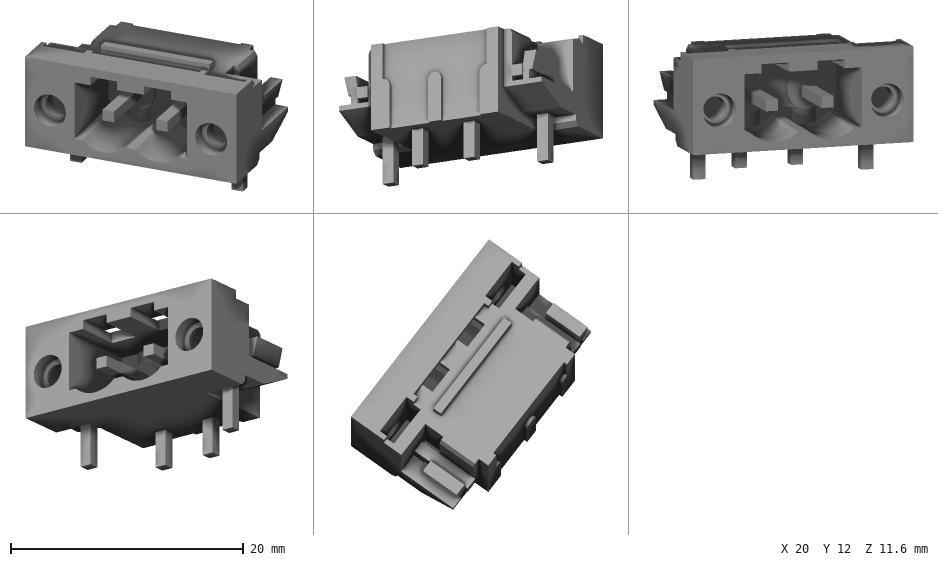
import cadquery as cq


WIDTH = 19.96
DEPTH = 12.0
HEIGHT = 8.4
PITCH = 5.07
CONTACT_XS = (-PITCH / 2, PITCH / 2)
ANCHOR_X = 1.5 * PITCH
AXIS_Z = 3.77

TOP_Z = 7.62
STEP_Y = 3.55
STEP_MIDDLE_Y = 3.11
KEYED_WIDTH = 10.22

RIDGE_FRONT_Y = 5.25
RIDGE_BACK_Y = 6.05
RIDGE_TOP_Z = 8.28
RIDGE_FILLET = 0.2

CAVITY_WIDTH = 10.62
CAVITY_BACK_Y = 7.58
CAVITY_FLOOR_Z = 1.52
CAVITY_CEILING_Z = 6.83
FLOOR_RISE = 0.15
CEILING_DROP = 0.08
SCALLOP_RADIUS = 3.05
NOTCH_WIDTH = 2.51
NOTCH_BACK_Y = 4.17

BLOCK_BOTTOM_Z = 2.3
BLOCK_TOP_Z = 5.65
BLOCK_THICKNESS = 0.35
SUPPORT_RADIUS = 1.7
COLUMN_THICKNESS = 0.371
BOSS_THICKNESS = 0.6

FLANGE_HOLE_RADIUS = 1.5
FLANGE_HOLE_DEPTH = 1.3
SCREW_RADIUS = 1.02
NUT_WIDTH = 3.85
NUT_FRONT_Y = 2.8
NUT_BACK_Y = 4.3

BODY_HALF_WIDTH = 6.27
WING_BACK_Y = 10.98
WING_TOP_Z = 2.9
WING_BACK_EDGE_Z = 2.45
WING_SLOPE_Y = 7.58
WING_BOTTOM_Z = 0.98
FLANGE_BACK_Y = 4.87
FLANGE_CHAMFER = 0.44
POCKET_FRONT_Y = 5.4
POCKET_HALF_WIDTH = 6.49

CLIP_FRONT_Y = 7.35
CLIP_FOOT_X = 8.76
CLIP_HOOK_X = 9.05
CLIP_TIP_OUTER_X = 9.46
CLIP_TIP_INNER_X = 8.32
CLIP_HOOK_Z = 3.7
CLIP_TOP_Z = 5.39
RIB_TOP_X = 6.83
RIB_CHAMFER_Z = 7.17

RECESS_DEPTH = 0.32
POST_RADIUS = 0.64
POST_XS = (-PITCH, 0.0, PITCH)

PIN_WIDTH = 1.08
PIN_THICKNESS = 1.0
LEG_BOTTOM_Z = -3.23
PIN_BOTTOM_Z = AXIS_Z - PIN_THICKNESS / 2
PIN_TOP_Z = AXIS_Z + PIN_THICKNESS / 2
CONTACT_TIP_Y = 0.95
CONTACT_BACK_Y = 10.45
ANCHOR_FRONT_Y = 5.49
ANCHOR_BACK_Y = 11.18


def box(x_range, y_range, z_range):
    """Box spanning the given (low, high) ranges."""
    size = [high - low for low, high in (x_range, y_range, z_range)]
    corner = (x_range[0], y_range[0], z_range[0])
    return cq.Workplane("XY").box(*size, centered=False).translate(corner)


def centered(width, x=0.0):
    """X range of the given width about x."""
    return (x - width / 2, x + width / 2)


def side_profile(points, x_range):
    """Prism with an outline of (Y, Z) points, running along X."""
    prism = cq.Workplane("YZ").polyline(points).close().extrude(x_range[1] - x_range[0])
    return prism.translate((x_range[0], 0, 0))


def front_profile(points, y_range):
    """Prism with an outline of (X, Z) points, running along Y."""
    prism = cq.Workplane("XZ").polyline(points).close().extrude(y_range[0] - y_range[1])
    return prism.translate((0, y_range[0], 0))


def rod(x, z, radius, y_range):
    """Round rod along Y."""
    circle = cq.Workplane("XZ").center(x, z).circle(radius)
    return circle.extrude(y_range[0] - y_range[1]).translate((0, y_range[0], 0))


def stepped_block():
    """Housing block with the raised front part, whose step bends forward in the middle."""
    block = box(centered(WIDTH), (0, DEPTH), (0, HEIGHT))
    rear_cut = box(centered(WIDTH), (STEP_Y, DEPTH), (TOP_Z, HEIGHT))
    middle_cut = box(centered(KEYED_WIDTH), (STEP_MIDDLE_Y, STEP_Y), (TOP_Z, HEIGHT))
    return block.cut(rear_cut).cut(middle_cut)


def ridge():
    """Ridge across the top with a concave fillet along each foot."""
    r = RIDGE_FILLET
    mid = r * (1 - 0.5 ** 0.5)
    outline = (
        cq.Workplane("YZ")
        .moveTo(RIDGE_FRONT_Y - r, TOP_Z)
        .threePointArc((RIDGE_FRONT_Y - mid, TOP_Z + mid), (RIDGE_FRONT_Y, TOP_Z + r))
        .lineTo(RIDGE_FRONT_Y, RIDGE_TOP_Z)
        .lineTo(RIDGE_BACK_Y, RIDGE_TOP_Z)
        .lineTo(RIDGE_BACK_Y, TOP_Z + r)
        .threePointArc((RIDGE_BACK_Y + mid, TOP_Z + mid), (RIDGE_BACK_Y + r, TOP_Z))
        .close()
    )
    return outline.extrude(KEYED_WIDTH / 2, both=True)


def mating_cavity():
    """Cavity with a drafted floor and ceiling, a round trough and a key notch for each contact."""
    outline = [
        (0, CAVITY_FLOOR_Z),
        (CAVITY_BACK_Y, CAVITY_FLOOR_Z + FLOOR_RISE),
        (CAVITY_BACK_Y, CAVITY_CEILING_Z - CEILING_DROP),
        (0, CAVITY_CEILING_Z),
    ]
    cavity = side_profile(outline, centered(CAVITY_WIDTH))
    below_axis = box(centered(CAVITY_WIDTH), (0, CAVITY_BACK_Y), (0, AXIS_Z))
    for x in CONTACT_XS:
        trough = rod(x, AXIS_Z, SCALLOP_RADIUS, (0, CAVITY_BACK_Y)).intersect(below_axis)
        notch = box(centered(NOTCH_WIDTH, x), (0, NOTCH_BACK_Y), (AXIS_Z, TOP_Z))
        cavity = cavity.union(trough).union(notch)
    return cavity


def contact_supports():
    """Cross block, upright columns and round bosses standing on the back wall of the cavity."""
    block_front_y = CAVITY_BACK_Y - BLOCK_THICKNESS
    boss_front_y = CAVITY_BACK_Y - BOSS_THICKNESS
    column_y = CAVITY_BACK_Y - COLUMN_THICKNESS + SUPPORT_RADIUS
    supports = box(
        centered(CAVITY_WIDTH), (block_front_y, CAVITY_BACK_Y), (BLOCK_BOTTOM_Z, BLOCK_TOP_Z)
    )
    front_of_wall = box(centered(CAVITY_WIDTH), (0, CAVITY_BACK_Y), (0, TOP_Z))
    for x in CONTACT_XS:
        column = cq.Workplane("XY").center(x, column_y).circle(SUPPORT_RADIUS).extrude(TOP_Z)
        boss = rod(x, AXIS_Z, SUPPORT_RADIUS, (boss_front_y, CAVITY_BACK_Y))
        supports = supports.union(column.intersect(front_of_wall)).union(boss)
    return supports


def flange_cuts():
    """Stepped screw hole and nut slot of the +X flange."""
    hole = rod(ANCHOR_X, AXIS_Z, FLANGE_HOLE_RADIUS, (0, FLANGE_HOLE_DEPTH))
    screw_hole = rod(ANCHOR_X, AXIS_Z, SCREW_RADIUS, (0, NUT_FRONT_Y))
    nut_slot = box(
        centered(NUT_WIDTH, ANCHOR_X), (NUT_FRONT_Y, NUT_BACK_Y), (AXIS_Z - NUT_WIDTH / 2, HEIGHT)
    )
    return hole.union(screw_hole).union(nut_slot)


def wing_cuts():
    """Space around the +X wing: behind it, below it and the pocket above it."""
    half_width = WIDTH / 2
    around = [
        (FLANGE_BACK_Y - FLANGE_CHAMFER, 0),
        (FLANGE_BACK_Y, FLANGE_CHAMFER),
        (FLANGE_BACK_Y, WING_BOTTOM_Z),
        (WING_SLOPE_Y, WING_BOTTOM_Z),
        (WING_BACK_Y, WING_BACK_EDGE_Z),
        (WING_BACK_Y, TOP_Z),
        (DEPTH, TOP_Z),
        (DEPTH, 0),
    ]
    outside = side_profile(around, (BODY_HALF_WIDTH, half_width))
    pocket = box(
        (POCKET_HALF_WIDTH, half_width), (POCKET_FRONT_Y, WING_BACK_Y), (WING_TOP_Z, TOP_Z)
    )
    return outside.union(pocket)


def anchor_clip():
    """Hook on the outer side of the +X anchor."""
    outline = [
        (ANCHOR_X + PIN_WIDTH / 2, WING_TOP_Z),
        (CLIP_FOOT_X, WING_TOP_Z),
        (CLIP_FOOT_X, CLIP_HOOK_Z),
        (CLIP_HOOK_X, CLIP_HOOK_Z),
        (CLIP_TIP_OUTER_X, CLIP_TOP_Z),
        (CLIP_TIP_INNER_X, CLIP_TOP_Z),
        (ANCHOR_X + PIN_WIDTH / 2, PIN_TOP_Z),
    ]
    return front_profile(outline, (CLIP_FRONT_Y, WING_BACK_Y))


def anchor_rib():
    """Rib on the rear body, chamfered at the top, on the inner side of the +X anchor."""
    face_x = ANCHOR_X - PIN_WIDTH / 2
    outline = [
        (BODY_HALF_WIDTH, WING_TOP_Z),
        (face_x, WING_TOP_Z),
        (face_x, RIB_CHAMFER_Z),
        (RIB_TOP_X, TOP_Z),
        (BODY_HALF_WIDTH, TOP_Z),
    ]
    return front_profile(outline, (CLIP_FRONT_Y, WING_BACK_Y))


def rear_recess():
    """Shallow recess in the back face, leaving a round-topped post beside each contact."""
    y_range = (DEPTH - RECESS_DEPTH, DEPTH)
    recess = box(centered(KEYED_WIDTH), y_range, (0, TOP_Z))
    for x in POST_XS:
        shaft = box(centered(2 * POST_RADIUS, x), y_range, (0, AXIS_Z))
        recess = recess.cut(shaft).cut(rod(x, AXIS_Z, POST_RADIUS, y_range))
    return recess


def make_contact(x):
    """Bent contact: a blade along Y with a solder leg down from its rear end."""
    outline = [
        (CONTACT_TIP_Y, PIN_TOP_Z),
        (CONTACT_BACK_Y, PIN_TOP_Z),
        (CONTACT_BACK_Y, LEG_BOTTOM_Z),
        (CONTACT_BACK_Y - PIN_THICKNESS, LEG_BOTTOM_Z),
        (CONTACT_BACK_Y - PIN_THICKNESS, PIN_BOTTOM_Z),
        (CONTACT_TIP_Y, PIN_BOTTOM_Z),
    ]
    return side_profile(outline, centered(PIN_WIDTH, x))


def make_anchor(x):
    """Solder anchor: a bar along Y with a leg down from its front end."""
    outline = [
        (ANCHOR_FRONT_Y, PIN_TOP_Z),
        (ANCHOR_BACK_Y, PIN_TOP_Z),
        (ANCHOR_BACK_Y, PIN_BOTTOM_Z),
        (ANCHOR_FRONT_Y + PIN_THICKNESS, PIN_BOTTOM_Z),
        (ANCHOR_FRONT_Y + PIN_THICKNESS, LEG_BOTTOM_Z),
        (ANCHOR_FRONT_Y, LEG_BOTTOM_Z),
    ]
    return side_profile(outline, centered(PIN_WIDTH, x))


def make_housing(metal_parts):
    """Housing with both flanges and a matching passage for every metal part."""
    housing = stepped_block().union(ridge())
    housing = housing.cut(mating_cavity().cut(contact_supports()))
    housing = housing.cut(rear_recess())
    side_cuts = flange_cuts().union(wing_cuts())
    holder = anchor_clip().union(anchor_rib())
    housing = housing.cut(side_cuts).cut(side_cuts.mirror("YZ"))
    housing = housing.union(holder).union(holder.mirror("YZ"))
    for part in metal_parts:
        housing = housing.cut(part)
    return housing


contacts = [make_contact(x) for x in CONTACT_XS]
anchors = [make_anchor(x) for x in (-ANCHOR_X, ANCHOR_X)]
housing = make_housing(contacts + anchors).solids()

result = cq.Compound.makeCompound([housing.val(), *[part.val() for part in contacts + anchors]])